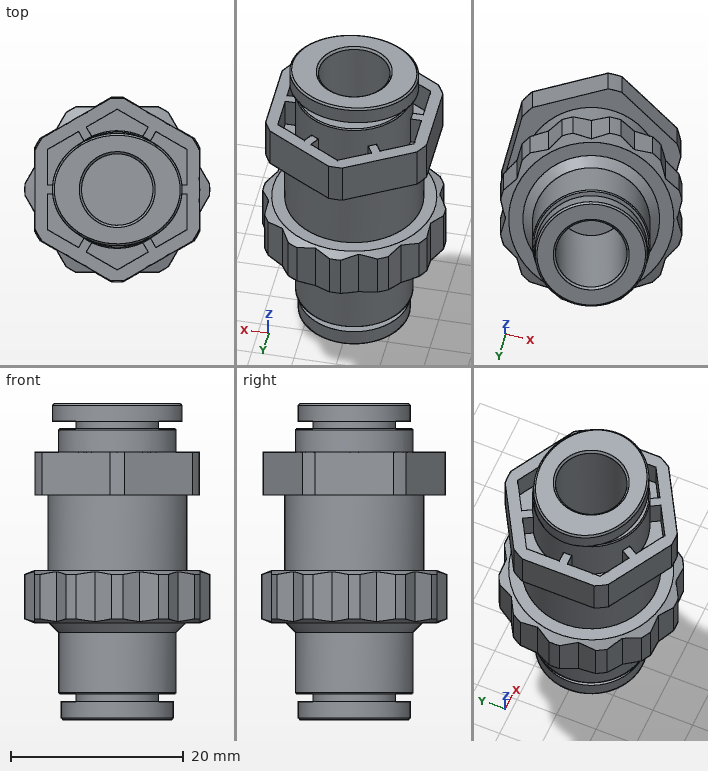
import cadquery as cq
import math


LOWER_COLLAR_TOP = 2.1
LOWER_BODY_BOTTOM = 3.0
CONE_BOTTOM = 10.1
NUT_BOTTOM = 11.2
NUT_TOP = 17.28
HEX_BOTTOM = 26.0
HEX_TOP = 30.95
UPPER_BODY_TOP = 33.67
UPPER_COLLAR_BOTTOM = 34.5
TOTAL_HEIGHT = 36.6

BODY_RADIUS = 6.8
BODY_CHAMFER = 0.15
BARREL_RADIUS = 8.05
CONE_TOP_RADIUS = BODY_RADIUS + (NUT_BOTTOM - CONE_BOTTOM)

SLEEVE_RADIUS = 4.8
COLLAR_RADIUS = 6.495
OVAL_COLLAR_RADIUS_X = 7.5
COLLAR_CHAMFER = 0.22

BORE_RADIUS = 4.15
BORE_DEPTH = 16.47
BORE_CHAMFER = 0.25

HEX_FLAT_RADIUS = 9.5
HEX_CORNER_RADIUS = 10.55
POCKET_FLAT_RADIUS = BARREL_RADIUS
POCKET_DEPTH = 3.5
RIB_WIDTH = 1.02
RIB_COUNT = 6

NUT_FLAT_RADIUS = 9.6
NUT_TIP_RADIUS = 10.705
NUT_FACE_RADIUS = 9.55
NUT_CHAMFER_HEIGHT = 0.48


def cylinder(radius, bottom, top):
    return cq.Workplane("XY").workplane(offset=bottom).circle(radius).extrude(top - bottom)


def hexagon(flat_radius, bottom, top, turn=0):
    """Hexagonal prism with corners on the X axis, then turned about Z by `turn` degrees."""
    corner_diameter = 2 * flat_radius / math.cos(math.radians(30))
    prism = cq.Workplane("XY").workplane(offset=bottom).polygon(6, corner_diameter).extrude(top - bottom)
    return prism.rotate((0, 0, 0), (0, 0, 1), turn)


def make_body():
    lower_body = cylinder(BODY_RADIUS, LOWER_BODY_BOTTOM, CONE_BOTTOM)
    lower_body = lower_body.faces("<Z").chamfer(BODY_CHAMFER)
    upper_body = cylinder(BODY_RADIUS, HEX_TOP - POCKET_DEPTH, UPPER_BODY_TOP)
    upper_body = upper_body.faces(">Z").chamfer(BODY_CHAMFER)
    cone = (
        cq.Workplane("XY")
        .workplane(offset=CONE_BOTTOM)
        .circle(BODY_RADIUS)
        .workplane(offset=NUT_BOTTOM - CONE_BOTTOM)
        .circle(CONE_TOP_RADIUS)
        .loft()
    )
    barrel = cylinder(BARREL_RADIUS, NUT_BOTTOM, HEX_BOTTOM)
    return lower_body.union(cone).union(barrel).union(upper_body)


def make_nut():
    """Two crossed hexagons trimmed by a disc that is bevelled at both faces."""
    star = hexagon(NUT_FLAT_RADIUS, NUT_BOTTOM, NUT_TOP)
    star = star.union(hexagon(NUT_FLAT_RADIUS, NUT_BOTTOM, NUT_TOP, turn=30))
    bevelled_disc = (
        cq.Workplane("XZ")
        .moveTo(0, NUT_BOTTOM)
        .lineTo(NUT_FACE_RADIUS, NUT_BOTTOM)
        .lineTo(NUT_TIP_RADIUS, NUT_BOTTOM + NUT_CHAMFER_HEIGHT)
        .lineTo(NUT_TIP_RADIUS, NUT_TOP - NUT_CHAMFER_HEIGHT)
        .lineTo(NUT_FACE_RADIUS, NUT_TOP)
        .lineTo(0, NUT_TOP)
        .close()
        .revolve(360, (0, 0), (0, 1))
    )
    return star.intersect(bevelled_disc)


def make_hex_flange():
    """Hexagon with rounded corners, hollowed from above and stiffened by ribs."""
    floor = HEX_TOP - POCKET_DEPTH
    flange = hexagon(HEX_FLAT_RADIUS, HEX_BOTTOM, HEX_TOP, turn=30)
    flange = flange.intersect(cylinder(HEX_CORNER_RADIUS, HEX_BOTTOM, HEX_TOP))
    flange = flange.cut(hexagon(POCKET_FLAT_RADIUS, floor, HEX_TOP, turn=30))

    rib_outer = (POCKET_FLAT_RADIUS + HEX_FLAT_RADIUS) / 2
    rib = (
        cq.Workplane("XY")
        .workplane(offset=floor)
        .center((SLEEVE_RADIUS + rib_outer) / 2, 0)
        .rect(rib_outer - SLEEVE_RADIUS, RIB_WIDTH)
        .extrude(POCKET_DEPTH)
    )
    for index in range(RIB_COUNT):
        angle = index * 360 / RIB_COUNT
        flange = flange.union(rib.rotate((0, 0, 0), (0, 0, 1), angle))
    return flange


def make_lower_sleeve():
    collar = cylinder(COLLAR_RADIUS, 0, LOWER_COLLAR_TOP)
    collar = collar.faces("<Z").chamfer(COLLAR_CHAMFER)
    return collar.union(cylinder(SLEEVE_RADIUS, LOWER_COLLAR_TOP, LOWER_BODY_BOTTOM))


def make_upper_sleeve():
    """Sleeve whose collar is oval, longer along X."""
    collar = (
        cq.Workplane("XY")
        .workplane(offset=UPPER_COLLAR_BOTTOM)
        .ellipse(OVAL_COLLAR_RADIUS_X, COLLAR_RADIUS)
        .extrude(TOTAL_HEIGHT - UPPER_COLLAR_BOTTOM)
        .faces(">Z")
        .chamfer(COLLAR_CHAMFER)
    )
    return collar.union(cylinder(SLEEVE_RADIUS, UPPER_BODY_TOP, UPPER_COLLAR_BOTTOM))


def make_bore(mouth, inward):
    """Blind bore with a chamfered mouth; `inward` is +1 or -1 along Z."""
    return (
        cq.Workplane("XZ")
        .moveTo(0, mouth)
        .lineTo(BORE_RADIUS + BORE_CHAMFER, mouth)
        .lineTo(BORE_RADIUS, mouth + inward * BORE_CHAMFER)
        .lineTo(BORE_RADIUS, mouth + inward * BORE_DEPTH)
        .lineTo(0, mouth + inward * BORE_DEPTH)
        .close()
        .revolve(360, (0, 0), (0, 1))
    )


result = (
    make_body()
    .union(make_nut())
    .union(make_hex_flange())
    .union(make_lower_sleeve())
    .union(make_upper_sleeve())
    .cut(make_bore(TOTAL_HEIGHT, -1))
    .cut(make_bore(0, 1))
)